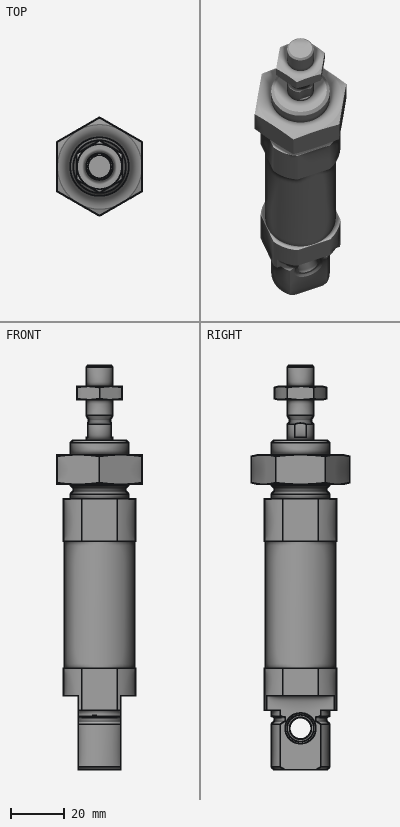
import cadquery as cq
import math


CAP_FLATS = 27.0
CAP_CORNER_DIA = 30.0
BARREL_DIA = 26.5
BARREL_BOTTOM_Z = 38.2
BARREL_TOP_Z = 85.6
REAR_CAP_Z = 22.3
FRONT_CAP_Z = 101.5

COLLAR_DIA = 22.0
NECK_DIA = 19.7
COLLAR_TOP_Z = 123.5
NECK_DEPTH = (COLLAR_DIA - NECK_DIA) / 2
COLLAR_CHAMFER_HEIGHT = 0.9
NECK_FILLET = 0.5
FRONT_NECK_LAND = 1.8
FRONT_NECK_WIDTH = 1.0
REAR_NECK_LAND = 2.3
REAR_NECK_WIDTH = 1.7

TENON_WIDTH = 16.0
TENON_TOP_Z = 27.7
PIN_HOLE_Z = 15.6
PIN_HOLE_DIA = 8.0
PIN_RECESS_FLOOR_DIA = 10.0
PIN_RECESS_DEPTH = 0.8

ROD_DIA = 10.0
ROD_TOP_Z = 151.5
ROD_BOTTOM_Z = BARREL_TOP_Z
ROD_TIP_DIA = 8.6
ROD_NECK_DIA = 8.3
ROD_NECK_BOTTOM_Z = 129.4
ROD_NECK_WIDTH = 1.0
THREAD_RUNOUT_ANGLE = 30
ROD_FLATS = 9.0
ROD_FLATS_BOTTOM_Z = 124.5

MOUNTING_NUT_FLATS = 32.0
MOUNTING_NUT_HEIGHT = 11.0
MOUNTING_NUT_Z = 107.0
MOUNTING_NUT_FACE_DIA = 31.7
MOUNTING_NUT_CHAMFER = 0.6
ROD_NUT_FLATS = 17.0
ROD_NUT_HEIGHT = 5.0
ROD_NUT_Z = 138.6
ROD_NUT_FACE_DIA = 16.8
ROD_NUT_CHAMFER = 0.5


def cylinder(diameter, bottom, top):
    """Round bar along the axis between two heights."""
    return cq.Workplane("XY").workplane(offset=bottom).circle(diameter / 2).extrude(top - bottom)


def revolved(profile):
    """Solid of revolution from (diameter, height) pairs listed from bottom to top."""
    outline = [(0, profile[0][1])]
    outline += [(diameter / 2, height) for diameter, height in profile]
    outline += [(0, profile[-1][1])]
    return cq.Workplane("XZ").polyline(outline).close().revolve(360, (0, 0, 0), (0, 1, 0))


def fillet_neck(solid, bottom, top):
    """Round the two circular inside corners of a neck between the given heights."""
    margin = NECK_FILLET / 10
    corners = cq.selectors.BoxSelector((-margin, -margin, bottom - margin), (margin, margin, top + margin))
    return solid.edges(corners).fillet(NECK_FILLET)


def make_cap(bottom, top):
    """Square cap whose corners are rounded by a cylinder about the axis."""
    square = cq.Workplane("XY").workplane(offset=bottom).rect(CAP_FLATS, CAP_FLATS).extrude(top - bottom)
    return square.intersect(cylinder(CAP_CORNER_DIA, bottom, top))


def make_front_collar():
    neck_bottom = FRONT_CAP_Z + FRONT_NECK_LAND + NECK_DEPTH
    neck_top = neck_bottom + FRONT_NECK_WIDTH
    collar = revolved([
        (COLLAR_DIA, FRONT_CAP_Z),
        (COLLAR_DIA, neck_bottom - NECK_DEPTH),
        (NECK_DIA, neck_bottom),
        (NECK_DIA, neck_top),
        (COLLAR_DIA, neck_top + NECK_DEPTH),
        (COLLAR_DIA, COLLAR_TOP_Z - COLLAR_CHAMFER_HEIGHT),
        (NECK_DIA, COLLAR_TOP_Z),
    ])
    return fillet_neck(collar, neck_bottom, neck_top)


def make_rear_collar():
    neck_top = REAR_CAP_Z - REAR_NECK_LAND
    neck_bottom = neck_top - REAR_NECK_WIDTH
    collar = revolved([
        (NECK_DIA, 0),
        (COLLAR_DIA, NECK_DEPTH),
        (COLLAR_DIA, neck_bottom - NECK_DEPTH),
        (NECK_DIA, neck_bottom),
        (NECK_DIA, neck_top),
        (COLLAR_DIA, neck_top),
        (COLLAR_DIA, REAR_CAP_Z),
    ])
    return fillet_neck(collar, neck_bottom, neck_top)


def cut_tenon_flats(body):
    """Remove everything outside the tenon width below the tenon shoulder."""
    side_depth = (CAP_FLATS - TENON_WIDTH) / 2
    for side in (-1, 1):
        waste = cq.Workplane("XY").box(side_depth, CAP_CORNER_DIA, TENON_TOP_Z, centered=(True, True, False))
        body = body.cut(waste.translate((side * (TENON_WIDTH + side_depth) / 2, 0, 0)))
    return body


def make_pin_hole():
    """Cross hole along X with a flat-floored recess, its wall at 45 degrees, in each tenon flat."""
    face = TENON_WIDTH / 2
    floor = face - PIN_RECESS_DEPTH
    hole_radius = PIN_HOLE_DIA / 2
    floor_radius = PIN_RECESS_FLOOR_DIA / 2
    mouth_radius = floor_radius + PIN_RECESS_DEPTH
    outline = [
        (-face, 0),
        (-face, mouth_radius),
        (-floor, floor_radius),
        (-floor, hole_radius),
        (floor, hole_radius),
        (floor, floor_radius),
        (face, mouth_radius),
        (face, 0),
    ]
    hole = cq.Workplane("XY").polyline(outline).close().revolve(360, (0, 0, 0), (1, 0, 0))
    return hole.translate((0, 0, PIN_HOLE_Z))


def make_cylinder_body():
    body = make_cap(REAR_CAP_Z, BARREL_BOTTOM_Z)
    body = body.union(cylinder(BARREL_DIA, BARREL_BOTTOM_Z, BARREL_TOP_Z))
    body = body.union(make_cap(BARREL_TOP_Z, FRONT_CAP_Z))
    body = body.union(make_front_collar())
    body = body.union(make_rear_collar())
    body = cut_tenon_flats(body)
    body = body.cut(make_pin_hole())
    rod_bore = cylinder(ROD_DIA, ROD_BOTTOM_Z, COLLAR_TOP_Z)
    return body.cut(rod_bore)


def make_piston_rod():
    neck_depth = (ROD_DIA - ROD_NECK_DIA) / 2
    neck_bottom = ROD_NECK_BOTTOM_Z + neck_depth
    neck_top = neck_bottom + ROD_NECK_WIDTH
    runout = neck_depth / math.tan(math.radians(THREAD_RUNOUT_ANGLE))
    rod = revolved([
        (ROD_DIA, ROD_BOTTOM_Z),
        (ROD_DIA, ROD_NECK_BOTTOM_Z),
        (ROD_NECK_DIA, neck_bottom),
        (ROD_NECK_DIA, neck_top),
        (ROD_DIA, neck_top + runout),
        (ROD_DIA, ROD_TOP_Z - (ROD_DIA - ROD_TIP_DIA) / 2),
        (ROD_TIP_DIA, ROD_TOP_Z),
    ])
    rod = fillet_neck(rod, neck_bottom, neck_top)
    flat_height = neck_bottom - ROD_FLATS_BOTTOM_Z
    for side in (-1, 1):
        waste = cq.Workplane("XY").box(ROD_DIA, ROD_DIA, flat_height, centered=(True, True, False))
        rod = rod.cut(waste.translate((side * (ROD_FLATS + ROD_DIA) / 2, 0, ROD_FLATS_BOTTOM_Z)))
    return rod


def make_nut(flats, height, bore, face_dia, chamfer, bottom):
    """Hexagon nut with flats across X and its corners coned off at both faces."""
    corner_dia = flats / math.cos(math.radians(30))
    hexagon = cq.Workplane("XY").polygon(6, corner_dia).extrude(height)
    hexagon = hexagon.rotate((0, 0, 0), (0, 0, 1), 90)
    cone_limits = revolved([
        (face_dia, 0),
        (corner_dia, chamfer),
        (corner_dia, height - chamfer),
        (face_dia, height),
    ])
    nut = hexagon.intersect(cone_limits).cut(cylinder(bore, 0, height))
    return nut.translate((0, 0, bottom))


cylinder_body = make_cylinder_body()
piston_rod = make_piston_rod()
mounting_nut = make_nut(
    MOUNTING_NUT_FLATS,
    MOUNTING_NUT_HEIGHT,
    COLLAR_DIA,
    MOUNTING_NUT_FACE_DIA,
    MOUNTING_NUT_CHAMFER,
    MOUNTING_NUT_Z,
)
rod_nut = make_nut(
    ROD_NUT_FLATS,
    ROD_NUT_HEIGHT,
    ROD_DIA,
    ROD_NUT_FACE_DIA,
    ROD_NUT_CHAMFER,
    ROD_NUT_Z,
)

result = cq.Compound.makeCompound([
    cylinder_body.val(),
    piston_rod.val(),
    mounting_nut.val(),
    rod_nut.val(),
])